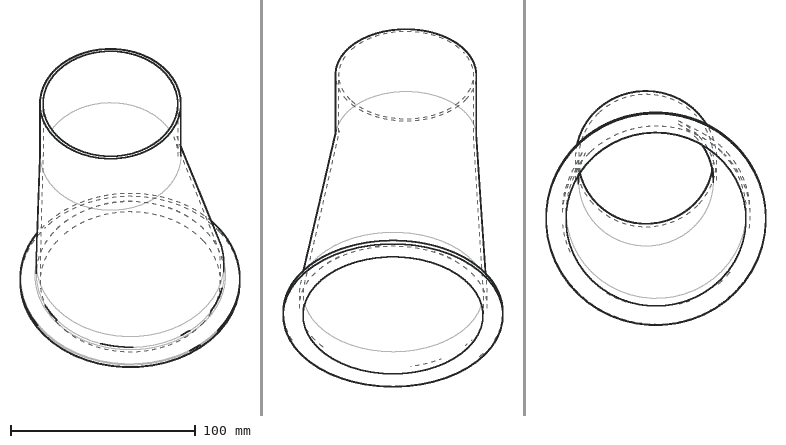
import cadquery as cq
import math

total_height = 162.0
large_outer_diameter = 101.5
large_inner_diameter = 97.3
small_outer_diameter = 76.3
small_inner_diameter = 72.9
cone_bottom_z = 15.9
cone_top_z = 117.7

small_pipe_y = -(large_outer_diameter - small_outer_diameter) / 2

flange_diameter = 118.9
flange_edge_height = 2.6
flange_slope_degrees = 20.0
neck_fillet = 1.1
rim_fillet = 0.5


def make_cylinder(diameter, bottom_z, top_z, center_y=0.0):
    """Upright cylinder between two heights."""
    base = cq.Workplane("XY").workplane(offset=bottom_z).center(0, center_y)
    return base.circle(diameter / 2).extrude(top_z - bottom_z)


def make_oblique_cone(large_diameter, small_diameter):
    """Cone that leans from the large pipe axis to the small pipe axis."""
    return (
        cq.Workplane("XY")
        .workplane(offset=cone_bottom_z)
        .circle(large_diameter / 2)
        .workplane(offset=cone_top_z - cone_bottom_z)
        .center(0, small_pipe_y)
        .circle(small_diameter / 2)
        .loft(ruled=True)
    )


def make_reducer(large_diameter, small_diameter):
    """Large pipe, oblique cone and small pipe, all solid."""
    large_pipe = make_cylinder(large_diameter, 0, cone_bottom_z)
    cone = make_oblique_cone(large_diameter, small_diameter)
    small_pipe = make_cylinder(small_diameter, cone_top_z, total_height, small_pipe_y)
    return large_pipe.union(cone).union(small_pipe)


def make_flanged_foot():
    """Large pipe and flange turned as one solid, with a rounded neck and rim."""
    pipe_radius = large_outer_diameter / 2
    flange_radius = flange_diameter / 2
    slope_rise = (flange_radius - pipe_radius) * math.tan(math.radians(flange_slope_degrees))
    neck_z = flange_edge_height + slope_rise
    foot = (
        cq.Workplane("XZ")
        .moveTo(0, 0)
        .lineTo(flange_radius, 0)
        .lineTo(flange_radius, flange_edge_height)
        .lineTo(pipe_radius, neck_z)
        .lineTo(pipe_radius, cone_bottom_z)
        .lineTo(0, cone_bottom_z)
        .close()
        .revolve(360, (0, 0), (0, 1))
    )
    innermost = cq.selectors.RadiusNthSelector(0)
    outermost = cq.selectors.RadiusNthSelector(-1)
    sloping_face = foot.faces("%CONE")
    foot = foot.newObject(sloping_face.edges(innermost).vals()).fillet(neck_fillet)
    sloping_face = foot.faces("%CONE")
    return foot.newObject(sloping_face.edges(outermost).vals()).fillet(rim_fillet)


outer_body = make_flanged_foot().union(make_reducer(large_outer_diameter, small_outer_diameter))
bore = make_reducer(large_inner_diameter, small_inner_diameter)
result = outer_body.cut(bore)